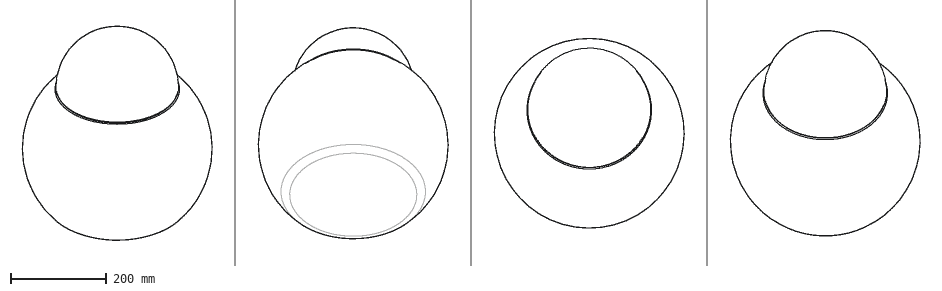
import cadquery as cq
import math

total_height = 423.0
body_radius = 200.0
body_center_z = 138.5
base_fillet = 24.0
body_top_z = 289.5
dome_radius = 129.5
dome_chamfer_width = 2.5

dome_center_z = total_height - dome_radius


def make_body():
    """Large sphere cut flat at base and top, with a rounded base edge."""
    sphere = cq.Workplane("XY").sphere(body_radius).translate((0, 0, body_center_z))
    slab = cq.Workplane("XY").circle(2 * body_radius).extrude(body_top_z)
    return sphere.intersect(slab).faces("<Z").edges().fillet(base_fillet)


def make_dome():
    """Hemisphere with a shallow bevel tapering down to its seat."""
    arc_mid = dome_radius * math.sqrt(0.5)
    return (
        cq.Workplane("XZ")
        .moveTo(0, body_top_z)
        .lineTo(dome_radius - dome_chamfer_width, body_top_z)
        .lineTo(dome_radius, dome_center_z)
        .threePointArc((arc_mid, dome_center_z + arc_mid), (0, total_height))
        .close()
        .revolve(360, (0, 0, 0), (0, 1, 0))
    )


body = make_body()
dome = make_dome()

result = cq.Compound.makeCompound([body.val(), dome.val()])